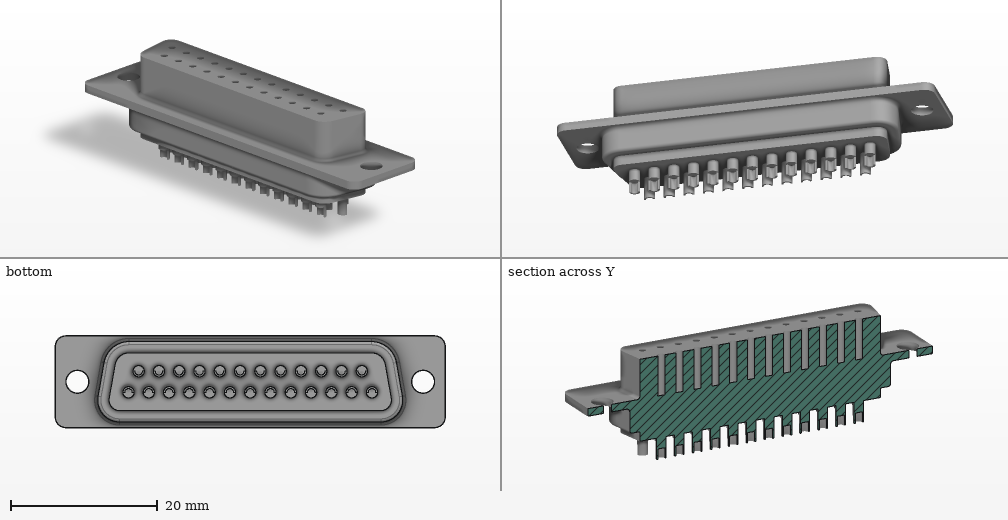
import cadquery as cq
import math

CUP_CUT_TOP = 1.5
BASE_BOTTOM = 3.1
BODY_BOTTOM = 4.45
FLANGE_BOTTOM = 8.05
FLANGE_TOP = 9.25
SHELL_TOP = 15.0

FLANGE_LENGTH = 53.1
FLANGE_WIDTH = 12.55
FLANGE_CORNER_RADIUS = 1.5
MOUNT_HOLE_DIAMETER = 3.1
MOUNT_HOLE_SPACING = 47.05

D_HALF_HEIGHT = 3.95
D_MID_HALF_WIDTH = 18.8
D_SIDE_ANGLE = 10.0
D_WIDE_CORNER_RADIUS = 1.45
D_NARROW_CORNER_RADIUS = 1.9
BODY_OFFSET = 1.55
EDGE_RADIUS = 0.4

ROOT_ZONE_HALF_LENGTH = FLANGE_LENGTH / 2 - FLANGE_CORNER_RADIUS
ROOT_ZONE_HALF_WIDTH = FLANGE_WIDTH / 2 - EDGE_RADIUS
ROOT_ZONE_HALF_DEPTH = 0.05

CONTACT_PITCH = 2.75
ROW_SPACING = 2.85
WIDE_ROW_COUNT = 13
NARROW_ROW_COUNT = WIDE_ROW_COUNT - 1
SOCKET_DIAMETER = 1.0
SOCKET_DEPTH = SHELL_TOP - FLANGE_TOP
CUP_DIAMETER = 1.55
CUP_BORE_DIAMETER = 1.0


def d_prism(offset, bottom, top):
    """Upright prism with the D outline grown outward by an offset."""
    angle = math.radians(D_SIDE_ANGLE)
    half_height = D_HALF_HEIGHT + offset
    mid_half_width = D_MID_HALF_WIDTH + offset / math.cos(angle)
    taper = half_height * math.tan(angle)
    wide = mid_half_width + taper
    narrow = mid_half_width - taper
    corners = [(-wide, half_height), (wide, half_height), (narrow, -half_height), (-narrow, -half_height)]
    prism = cq.Workplane("XY").workplane(offset=bottom).polyline(corners).close().extrude(top - bottom)
    prism = prism.edges("|Z and >Y").fillet(D_WIDE_CORNER_RADIUS + offset)
    return prism.edges("|Z and <Y").fillet(D_NARROW_CORNER_RADIUS + offset)


def row_points(count, y):
    """Evenly pitched contact positions centred on X = 0."""
    first = -CONTACT_PITCH * (count - 1) / 2
    return [(first + i * CONTACT_PITCH, y) for i in range(count)]


def flange():
    plate = cq.Workplane("XY").workplane(offset=FLANGE_BOTTOM)
    plate = plate.rect(FLANGE_LENGTH, FLANGE_WIDTH).extrude(FLANGE_TOP - FLANGE_BOTTOM)
    return plate.edges("|Z").fillet(FLANGE_CORNER_RADIUS)


def solder_cup(outward):
    """Bored cylinder at the origin, its lower part cut open on the outward Y side (+1 or -1)."""
    cup = cq.Workplane("XY").circle(CUP_DIAMETER / 2).extrude(BASE_BOTTOM)
    bore = cq.Workplane("XY").circle(CUP_BORE_DIAMETER / 2).extrude(CUP_CUT_TOP)
    opening = (
        cq.Workplane("XY")
        .center(0, outward * CUP_DIAMETER / 2)
        .rect(2 * CUP_DIAMETER, CUP_DIAMETER)
        .extrude(CUP_CUT_TOP)
    )
    return cup.cut(bore).cut(opening)


wide_row = row_points(WIDE_ROW_COUNT, ROW_SPACING / 2)
narrow_row = row_points(NARROW_ROW_COUNT, -ROW_SPACING / 2)

result = flange()
result = result.union(d_prism(0, FLANGE_TOP, SHELL_TOP))
result = result.union(d_prism(BODY_OFFSET, BODY_BOTTOM, FLANGE_BOTTOM))

for level in (FLANGE_TOP, FLANGE_BOTTOM):
    root_zone = cq.selectors.BoxSelector(
        (-ROOT_ZONE_HALF_LENGTH, -ROOT_ZONE_HALF_WIDTH, level - ROOT_ZONE_HALF_DEPTH),
        (ROOT_ZONE_HALF_LENGTH, ROOT_ZONE_HALF_WIDTH, level + ROOT_ZONE_HALF_DEPTH),
    )
    result = result.edges(root_zone).fillet(EDGE_RADIUS)

result = result.faces("<Z").edges().fillet(EDGE_RADIUS)

result = result.union(d_prism(0, BASE_BOTTOM, BODY_BOTTOM))

mount_points = [(-MOUNT_HOLE_SPACING / 2, 0), (MOUNT_HOLE_SPACING / 2, 0)]
mount_holes = (
    cq.Workplane("XY")
    .workplane(offset=FLANGE_BOTTOM)
    .pushPoints(mount_points)
    .circle(MOUNT_HOLE_DIAMETER / 2)
    .extrude(FLANGE_TOP - FLANGE_BOTTOM)
)
result = result.cut(mount_holes)

sockets = (
    cq.Workplane("XY")
    .workplane(offset=SHELL_TOP)
    .pushPoints(wide_row + narrow_row)
    .circle(SOCKET_DIAMETER / 2)
    .extrude(-SOCKET_DEPTH)
)
result = result.cut(sockets)

for row, outward in ((wide_row, 1), (narrow_row, -1)):
    cup = solder_cup(outward).val()
    cups = cq.Workplane("XY").pushPoints(row).eachpoint(lambda place: cup.moved(place))
    result = result.union(cups)